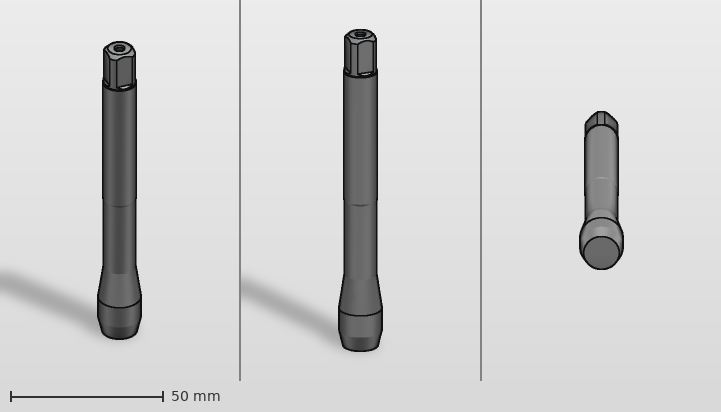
import cadquery as cq
import math

total_length = 110.0

head_diameter = 14.2
tip_diameter = 11.7
lead_length = 5.4
head_length = 13.1

neck_diameter = 10.7
cone_top = 25.1
neck_top = 51.2

shank_diameter = 11.0
shank_step_height = 0.7
shank_top = 97.0

square_width = 9.0
corner_diameter = 10.6
square_top_diameter = 7.7
square_chamfer = (corner_diameter - square_top_diameter) / 2
ramp_height = 1.0
square_base = shank_top + ramp_height
shoulder_chamfer = (shank_diameter - corner_diameter) / 2

hole_diameter = 2.5
hole_depth = 3.3
hole_mouth_diameter = 3.5
hole_mouth_depth = (hole_mouth_diameter - hole_diameter) / 2
drill_point_angle = 120.0


def revolve_profile(steps):
    """Turn (diameter, height) steps, listed upwards, into a solid about Z."""
    points = [(diameter / 2, height) for diameter, height in steps]
    outline = [*points, (0, steps[-1][1])]
    if points[0][0] > 0:
        outline.insert(0, (0, steps[0][1]))
    return cq.Workplane("XZ").polyline(outline).close().revolve(360, (0, 0), (0, 1))


def make_cutting_head():
    return revolve_profile([
        (tip_diameter, 0),
        (head_diameter, lead_length),
        (head_diameter, head_length),
    ])


def make_turned_shank():
    return revolve_profile([
        (head_diameter, head_length),
        (neck_diameter, cone_top),
        (neck_diameter, neck_top),
        (shank_diameter, neck_top + shank_step_height),
        (shank_diameter, shank_top - shoulder_chamfer),
        (corner_diameter, shank_top),
        (corner_diameter, total_length - square_chamfer),
        (square_top_diameter, total_length),
    ])


def make_flat_cutter():
    """Waste beyond the +X flat, ending in a 45 degree ramp at its foot."""
    inner = square_width / 2
    outer = shank_diameter
    ramp_foot = square_base - (outer - inner)
    outline = [(inner, square_base), (outer, ramp_foot), (outer, total_length), (inner, total_length)]
    return cq.Workplane("XZ").polyline(outline).close().extrude(shank_diameter / 2, both=True)


def make_centre_hole():
    hole_bottom = total_length - hole_depth
    point_height = hole_diameter / 2 / math.tan(math.radians(drill_point_angle / 2))
    return revolve_profile([
        (0, hole_bottom - point_height),
        (hole_diameter, hole_bottom),
        (hole_diameter, total_length - hole_mouth_depth),
        (hole_mouth_diameter, total_length),
    ])


def make_shank():
    shank = make_turned_shank()
    for angle in range(0, 360, 90):
        shank = shank.cut(make_flat_cutter().rotate((0, 0, 0), (0, 0, 1), angle))
    return shank.cut(make_centre_hole())


cutting_head = make_cutting_head()
shank = make_shank()
result = cq.Compound.makeCompound([cutting_head.val(), shank.val()])